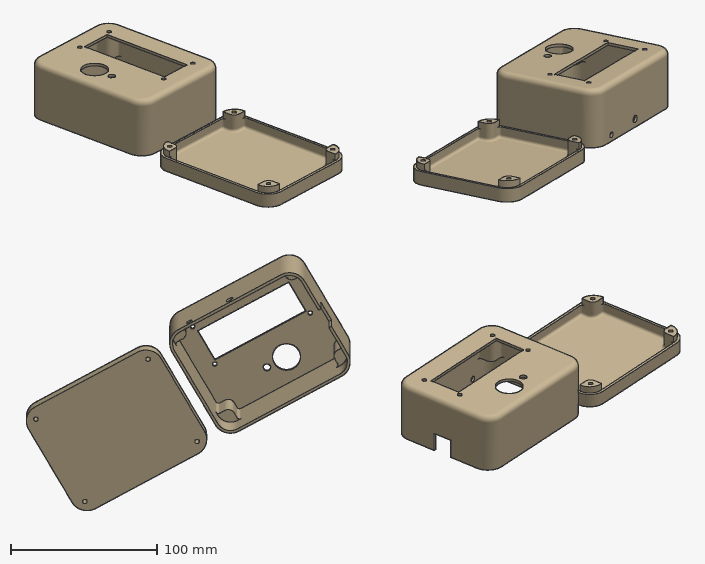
import cadquery as cq

width = 104.0
depth = 84.2
wall = 2.0
corner_radius = 12.0
blend_radius = 2.0

post_inset = 8.0
post_radius = 4.5
post_reach = post_inset + post_radius
screw_diameter = 3.0

housing_height = 42.0
top_fillet = 4.1
post_bottom = 18.0

window_width = 71.5
window_height = 24.0
window_x = 0.2
window_y = 11.0
mount_y = 12.0
mount_pitch_x = 74.9
mount_pitch_y = 31.0
mount_diameter = 3.0

knob_diameter = 19.0
knob_x = -7.8
lamp_diameter = 5.0
lamp_x = 7.5
control_y = -23.2

notch_width = 14.5
notch_height = 13.6

switch_diameter = 5.0
switch_x = 0.2
switch_z = 6.0
jack_diameter = 4.0
jack_x = 31.8
jack_z = 4.8

lid_height = 10.0
lid_post_height = 15.0
lid_gap = 8.2
lid_shift_y = 0.5
lid_drop = 3.0


def rounded_block(size_x, size_y, height, radius):
    """Upright block standing on Z = 0 with rounded vertical edges."""
    return cq.Workplane().rect(size_x, size_y).extrude(height).edges("|Z").fillet(radius)


def inner_block(height):
    """Space enclosed by the walls, its corners concentric with the outer ones."""
    return rounded_block(width - 2 * wall, depth - 2 * wall, height, corner_radius - wall)


def post_corner_blocks(height):
    """Blocks that fill the four corners out to the far faces of the posts."""
    block_size = 2 * post_reach
    return (
        cq.Workplane()
        .rect(width, depth, forConstruction=True)
        .vertices()
        .rect(block_size, block_size)
        .extrude(height)
        .edges("|Z")
        .fillet(post_radius)
    )


def space_between_posts(height):
    """Cross-shaped space left by the walls and posts, blended where they meet."""
    space = (
        cq.Workplane()
        .rect(width - 2 * wall, depth - 2 * wall)
        .extrude(height)
        .cut(post_corner_blocks(height))
    )
    return space.edges("|Z").edges("<X or >X or <Y or >Y").fillet(blend_radius)


def through_top(outline):
    """Cutter that runs a flat outline through the ceiling."""
    return outline.extrude(2 * wall).translate((0, 0, housing_height - 1.5 * wall))


def back_hole(diameter, x, z):
    """Cutter for a round opening in the +Y wall."""
    return (
        cq.Workplane("XZ", origin=(x, depth / 2, z))
        .circle(diameter / 2)
        .extrude(2 * wall, both=True)
    )


def make_housing():
    shell = rounded_block(width, depth, housing_height, corner_radius)
    shell = shell.faces(">Z").edges().fillet(top_fillet)

    ceiling = housing_height - wall
    shell = shell.cut(space_between_posts(ceiling)).cut(inner_block(post_bottom))

    window = cq.Workplane().center(window_x, window_y).rect(window_width, window_height)
    mounts = (
        cq.Workplane()
        .center(0, mount_y)
        .rect(mount_pitch_x, mount_pitch_y, forConstruction=True)
        .vertices()
        .circle(mount_diameter / 2)
    )
    knob = cq.Workplane().center(knob_x, control_y).circle(knob_diameter / 2)
    lamp = cq.Workplane().center(lamp_x, control_y).circle(lamp_diameter / 2)
    for opening in (window, mounts, knob, lamp):
        shell = shell.cut(through_top(opening))

    notch = cq.Workplane().box(4 * wall, notch_width, 2 * notch_height)
    shell = shell.cut(notch.translate((-width / 2, 0, 0)))

    shell = shell.cut(back_hole(switch_diameter, switch_x, switch_z))
    return shell.cut(back_hole(jack_diameter, jack_x, jack_z))


def make_lid():
    tray = rounded_block(width, depth, lid_height, corner_radius)
    posts = inner_block(lid_post_height).intersect(post_corner_blocks(lid_post_height))
    hollow = space_between_posts(lid_height).faces("<Z").edges().fillet(blend_radius)
    screw_holes = (
        cq.Workplane()
        .rect(width - 2 * post_inset, depth - 2 * post_inset, forConstruction=True)
        .vertices()
        .circle(screw_diameter / 2)
        .extrude(lid_post_height)
    )
    lid = tray.cut(hollow.translate((0, 0, wall))).union(posts).cut(screw_holes)
    return lid.translate((width + lid_gap, lid_shift_y, -lid_drop))


housing = make_housing()
lid = make_lid()
result = cq.Compound.makeCompound([housing.val(), lid.val()])